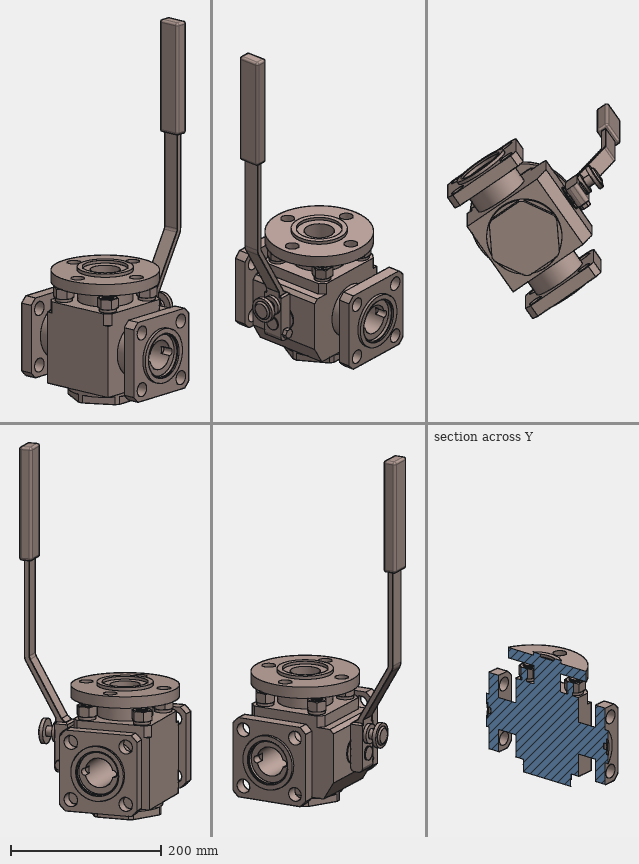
import cadquery as cq
import math


HEX_SIDES = 6

body_width = 107.5
body_half_depth = 55.0
body_bottom = -55.0
body_top = 58.5
turned_top_diameter = 143.5
turned_top_height = 15.5

pad_face = 72.5
pad_top = body_top - turned_top_height
pad_top_chamfer = 5.5
pad_slope_depth = 14.5
pad_slope_height = 24.5

bore_diameter = 40.0
neck_diameter = 74.0
raised_face_diameter = 75.0
raised_face_height = 4.5
recess_diameter = 61.0
side_recess_depth = 2.5
top_recess_depth = 4.0
seat_diameter = 57.5
seat_depth = 5.0
notch_diameter = 10.0
notch_depth = 14.5

bolt_spacing = 78.0

top_port_reach = 104.0
top_flange_diameter = 144.5
top_flange_thickness = 15.5
top_hole_count = 4
top_hole_diameter = 18.0
top_hole_circle = bolt_spacing * math.sqrt(2)

port_to_port = 208.0
side_port_reach = port_to_port / 2
side_flange_thickness = 17.0
side_flange_size = 2 * body_half_depth
side_flange_turned_diameter = top_flange_diameter
side_hole_diameter = 19.0

washer_diameter = 23.0
washer_height = 4.0
nut_width = 24.5
nut_height = 14.5
nut_chamfer_reach = 2.5
stud_diameter = 16.0
stud_top = 79.5
stud_chamfer = 1.0

cap_diameter = 100.0
cap_bottom = -73.5
cap_hex_height = 10.8
cap_hex_width = 90.0

hub_front = 76.7
hub_back = 95.0
hub_width = 29.0
hub_bottom = -24.0
hub_top = 44.0
hub_fillet = 6.0
hub_chamfer = 2.5
stem_diameter = 19.0
stem_projection = 2.0
stem_end = hub_back + stem_projection
stem_washer_diameter = 34.0
stem_washer_thickness = 1.5
pinch_head_width = 12.0
pinch_bolt_z = -13.0
pinch_head_height = 6.5

plunger_z = 27.5
plunger_tip_diameter = 10.0
plunger_shaft_diameter = 14.0
collar_diameter = 27.0
collar_length = 5.0
knob_diameter = 34.0
knob_front = 111.0
knob_rim_length = 5.5
knob_cap_diameter = 26.0
knob_cap_length = 3.0
knob_cap_chamfer = 2.5

lever_width = 23.0
lever_thickness = 7.5
lever_angle = math.radians(30)
lever_back = 139.5
lever_bend_z = 126.0
lever_bend_radius = 9.0
lever_edge_chamfer = 0.5
lever_toe_height = 5.0
lever_toe_setback = 4.0
grip_width = 32.0
grip_front = 127.0
grip_back = 145.0
grip_bottom = 260.5
grip_top = 415.5
grip_fillet = 3.5


def rod_z(diameter, low, high):
    """Round bar on the Z axis."""
    return cq.Workplane("XY").workplane(offset=low).circle(diameter / 2).extrude(high - low)


def block_z(width, depth, low, high):
    """Rectangular block centred on the Z axis."""
    return cq.Workplane("XY").workplane(offset=low).rect(width, depth).extrude(high - low)


def rod_y(diameter, near, far, z):
    """Round bar along +Y at height z."""
    return cq.Workplane("XZ", origin=(0, near, z)).circle(diameter / 2).extrude(near - far)


def hex_z(flats, low, high):
    """Hexagonal bar along Z with its flats facing +X and -X."""
    corners = flats / math.cos(math.pi / HEX_SIDES)
    prism = cq.Workplane("XY").polygon(HEX_SIDES, corners).extrude(high - low)
    return prism.rotate((0, 0, 0), (0, 0, 1), 30).translate((0, 0, low))


def make_body():
    block = block_z(body_width, 2 * body_half_depth, body_bottom, pad_top)
    square_top = block_z(body_width, 2 * body_half_depth, pad_top, body_top)
    turned_top = square_top.intersect(rod_z(turned_top_diameter, pad_top, body_top))
    slope_start = pad_face - pad_slope_depth
    pad = (
        cq.Workplane("YZ", origin=(-body_width / 2, 0, 0))
        .moveTo(0, body_bottom)
        .lineTo(slope_start, body_bottom)
        .lineTo(pad_face, body_bottom + pad_slope_height)
        .lineTo(pad_face, pad_top - pad_top_chamfer)
        .lineTo(pad_face - pad_top_chamfer, pad_top)
        .lineTo(0, pad_top)
        .close()
        .extrude(body_width)
    )
    return block.union(turned_top).union(pad)


def make_side_port():
    """Neck and square flange of a side port, pointing along +Z."""
    flange_top = side_port_reach - raised_face_height
    flange_bottom = flange_top - side_flange_thickness
    flange = (
        block_z(side_flange_size, side_flange_size, flange_bottom, flange_top)
        .intersect(rod_z(side_flange_turned_diameter, flange_bottom, flange_top))
        .faces(">Z")
        .workplane()
        .rect(bolt_spacing, bolt_spacing, forConstruction=True)
        .vertices()
        .hole(side_hole_diameter)
    )
    neck = rod_z(neck_diameter, 0, flange_top)
    raised_face = rod_z(raised_face_diameter, flange_top, side_port_reach)
    return neck.union(flange).union(raised_face)


def make_side_port_cut():
    """Bore, stepped recess and spanner notches of a side port, along +Z."""
    seat_bottom = side_port_reach - side_recess_depth - seat_depth
    cut = rod_z(bore_diameter, 0, side_port_reach)
    cut = cut.union(rod_z(seat_diameter, seat_bottom, side_port_reach))
    cut = cut.union(rod_z(recess_diameter, side_port_reach - side_recess_depth, side_port_reach))
    for side in (-1, 1):
        notch = rod_z(notch_diameter, seat_bottom - notch_depth, seat_bottom)
        cut = cut.union(notch.translate((0, side * bore_diameter / 2, 0)))
    return cut


def make_top_port():
    flange_top = top_port_reach - raised_face_height
    flange = (
        rod_z(top_flange_diameter, flange_top - top_flange_thickness, flange_top)
        .faces(">Z")
        .workplane()
        .polarArray(top_hole_circle / 2, 0, 360, top_hole_count)
        .hole(top_hole_diameter)
    )
    neck = rod_z(neck_diameter, 0, flange_top)
    raised_face = rod_z(raised_face_diameter, flange_top, top_port_reach)
    return neck.union(flange).union(raised_face)


def make_top_port_cut():
    bore = rod_z(bore_diameter, 0, top_port_reach)
    return bore.union(rod_z(recess_diameter, top_port_reach - top_recess_depth, top_port_reach))


def make_stud():
    """Washer, chamfered nut and stud end standing on the body top."""
    nut_bottom = body_top + washer_height
    nut_top = nut_bottom + nut_height
    nut_corners = nut_width / math.cos(math.pi / HEX_SIDES)
    turned_blank = rod_z(nut_corners, nut_bottom, nut_top).faces("<Z or >Z").chamfer(
        nut_chamfer_reach / 2, nut_chamfer_reach
    )
    nut = hex_z(nut_width, nut_bottom, nut_top).intersect(turned_blank)
    washer = rod_z(washer_diameter, body_top, nut_bottom)
    stud = rod_z(stud_diameter, body_top, stud_top).faces(">Z").chamfer(stud_chamfer)
    return washer.union(nut).union(stud)


def make_bottom_cap():
    hex_top = cap_bottom + cap_hex_height
    turned_blank = rod_z(cap_diameter, cap_bottom, hex_top)
    wrench_hex = hex_z(cap_hex_width, cap_bottom, hex_top).intersect(turned_blank)
    return rod_z(cap_diameter, hex_top, body_bottom).union(wrench_hex)


def make_hub():
    hub = (
        block_z(hub_width, hub_back - hub_front, hub_bottom, hub_top)
        .translate((0, (hub_front + hub_back) / 2, 0))
        .edges("|X and <Z")
        .fillet(hub_fillet)
        .faces(">Z")
        .chamfer(hub_chamfer)
    )
    bolt_head = (
        cq.Workplane("YZ", origin=(0, (hub_front + hub_back) / 2, pinch_bolt_z))
        .polygon(HEX_SIDES, pinch_head_width / math.cos(math.pi / HEX_SIDES))
        .extrude(-hub_width / 2 - pinch_head_height)
    )
    return hub.union(bolt_head)


def make_stem():
    washer = rod_y(stem_washer_diameter, pad_face, pad_face + stem_washer_thickness, 0)
    return rod_y(stem_diameter, body_half_depth, stem_end, 0).union(washer)


def make_plunger():
    rim_back = knob_front + knob_rim_length
    cap_back = rim_back + knob_cap_length
    cap = rod_y(knob_cap_diameter, rim_back, cap_back, plunger_z)
    plunger = rod_y(plunger_tip_diameter, pad_face, hub_front, plunger_z)
    plunger = plunger.union(rod_y(plunger_shaft_diameter, hub_back, rim_back, plunger_z))
    plunger = plunger.union(rod_y(collar_diameter, hub_back, hub_back + collar_length, plunger_z))
    plunger = plunger.union(rod_y(knob_diameter, knob_front, rim_back, plunger_z))
    return plunger.union(cap.faces(">Y").chamfer(knob_cap_chamfer))


def make_lever():
    lever_front = lever_back - lever_thickness
    inner_bend_z = lever_bend_z + lever_thickness * math.tan(lever_angle / 2)
    slope = math.tan(lever_angle)
    back_foot_z = lever_bend_z - (lever_back - hub_back) / slope
    sloped_drop = inner_bend_z - hub_top - lever_toe_height
    toe_y = lever_front - sloped_drop * slope
    bar = (
        cq.Workplane("YZ", origin=(-lever_width / 2, 0, 0))
        .moveTo(lever_back, grip_bottom)
        .lineTo(lever_back, lever_bend_z)
        .lineTo(hub_back, back_foot_z)
        .lineTo(hub_back, hub_top - hub_chamfer)
        .lineTo(hub_front + lever_toe_setback, hub_top - hub_chamfer)
        .lineTo(hub_front + lever_toe_setback, hub_top)
        .lineTo(toe_y, hub_top + lever_toe_height)
        .lineTo(lever_front, inner_bend_z)
        .lineTo(lever_front, grip_bottom)
        .close()
        .extrude(lever_width)
    )
    outer_bend = cq.selectors.NearestToPointSelector((0, lever_back, lever_bend_z))
    inner_bend = cq.selectors.NearestToPointSelector((0, lever_front, inner_bend_z))
    bar = bar.edges(outer_bend).fillet(lever_bend_radius + lever_thickness)
    bar = bar.edges(inner_bend).fillet(lever_bend_radius)
    bar = bar.faces("<X or >X").chamfer(lever_edge_chamfer)
    grip = (
        block_z(grip_width, grip_back - grip_front, grip_bottom, grip_top)
        .translate((0, (grip_front + grip_back) / 2, 0))
        .edges()
        .fillet(grip_fillet)
    )
    return bar.union(grip)


def turn_to_side(shape, side):
    """Turn a shape pointing along +Z to point along X on the given side."""
    return shape.rotate((0, 0, 0), (0, 1, 0), side * 90)


result = make_body().union(make_top_port()).union(make_bottom_cap())
for side in (-1, 1):
    result = result.union(turn_to_side(make_side_port(), side))
for x_side in (-1, 1):
    for y_side in (-1, 1):
        place = (x_side * bolt_spacing / 2, y_side * bolt_spacing / 2, 0)
        result = result.union(make_stud().translate(place))
for attachment in (make_stem(), make_hub(), make_plunger(), make_lever()):
    result = result.union(attachment)
result = result.cut(make_top_port_cut())
for side in (-1, 1):
    result = result.cut(turn_to_side(make_side_port_cut(), side))